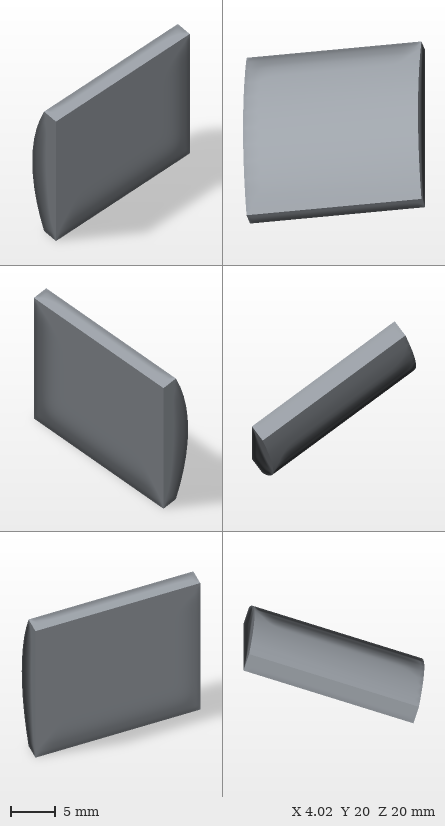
import cadquery as cq

side = 20.0
center_thickness = 4.02
edge_thickness = 2.02

half_side = side / 2
flat_x = center_thickness / 2
edge_x = flat_x - edge_thickness
apex_x = flat_x - center_thickness

result = (
    cq.Workplane("XZ")
    .moveTo(flat_x, -half_side)
    .lineTo(flat_x, half_side)
    .lineTo(edge_x, half_side)
    .threePointArc((apex_x, 0), (edge_x, -half_side))
    .close()
    .extrude(half_side, both=True)
)